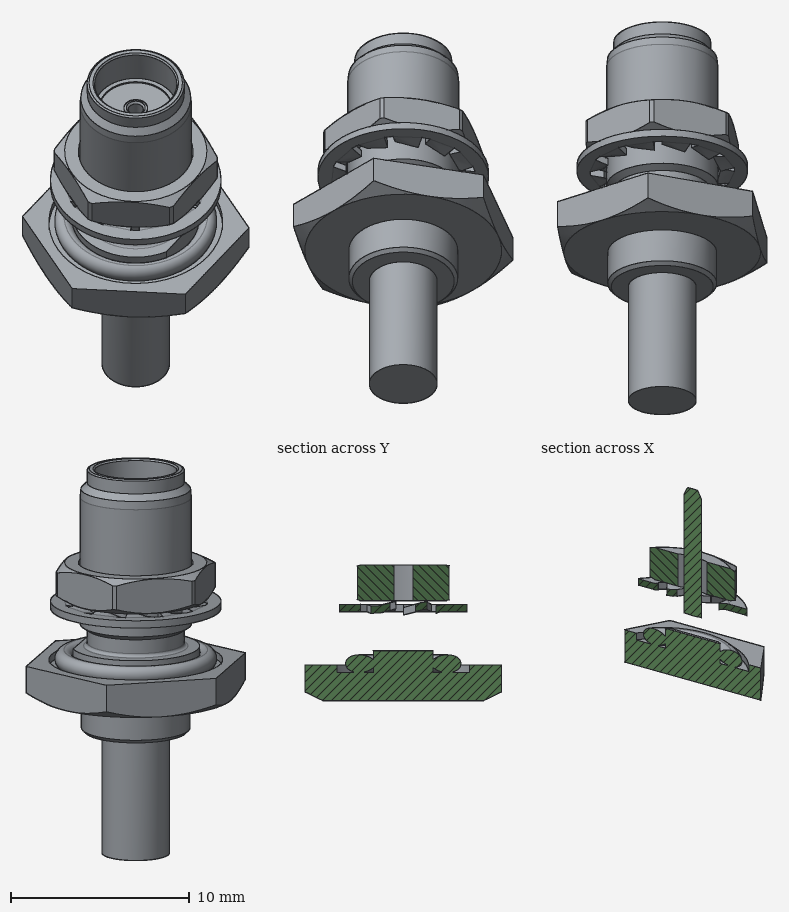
import cadquery as cq
import math

TOTAL_HEIGHT = 22.1
COLLAR_BOTTOM = 7.0
FLANGE_BOTTOM = 9.1
FLANGE_TOP = 11.12
BOSS_TOP = 11.91
UNDERCUT_TOP = 12.9
THREAD_BOTTOM = 13.17
WASHER_BOTTOM = 14.08
WASHER_THICKNESS = 0.42
NUT_BOTTOM = 14.7
NUT_TOP = 16.7
LEAD_BOTTOM = 20.49
LEAD_TOP = 20.95
NECK_BOTTOM = 21.3

TAIL_RADIUS = 1.9
COLLAR_RADIUS = 3.05
COLLAR_CHAMFER = 0.2
BOSS_RADIUS = 3.58
BOSS_FLAT_OFFSET = 3.18
NECK_RADIUS = 2.72
NECK_CHAMFER_WIDTH = 0.1
NECK_CHAMFER_HEIGHT = 0.07
UNDERCUT_FILLET = 0.2
THREAD_RADIUS = 3.12
LEAD_RADIUS = 3.07

FLANGE_ACROSS_FLATS = 11.0
FLANGE_CHAMFER_HEIGHT = 0.49
NUT_ACROSS_FLATS = 8.05
NUT_CORNER_RADIUS = 4.57
NUT_FACE_RADIUS = 3.98
NUT_TOP_CHAMFER = 0.29
NUT_BOTTOM_CHAMFER = 0.35
NUT_BORE_RADIUS = 3.2

SEAL_GROOVE_RADIUS = 4.86
SEAL_GROOVE_DEPTH = 0.42
SEAL_RADIUS = 4.02
SEAL_TUBE_RADIUS = 0.5
SEAL_CENTRE_HEIGHT = 11.18

SOCKET_RADIUS = 2.3
SOCKET_CHAMFER = 0.09
LEDGE_DEPTH = 1.92
INSULATOR_RADIUS = 2.03
INSULATOR_DEPTH = 2.01
CONTACT_RADIUS = 0.66
CONTACT_RISE = 0.05
CONTACT_HOLE_RADIUS = 0.42
CONTACT_HOLE_CHAMFER = 0.1
CONTACT_HOLE_DEPTH = 2.65

WASHER_RADIUS = 4.77
WASHER_BORE_RADIUS = 4.05
TOOTH_COUNT = 12
TOOTH_ROOT_LENGTH = 0.33
TOOTH_TIP_RADIUS = 3.23
TOOTH_ARC = 23.0
TOOTH_RISE = 0.18
TOOTH_CENTRE_ANGLE = -71.5


def disc(radius, bottom, top):
    """Upright cylinder on the axis between two heights."""
    return cq.Workplane("XY").workplane(offset=bottom).circle(radius).extrude(top - bottom)


def hexagon(across_flats, bottom, top):
    """Hexagonal prism with two flats square to X and two corners on Y."""
    corner_diameter = across_flats / math.cos(math.radians(30))
    prism = cq.Workplane("XY").workplane(offset=bottom).polygon(6, corner_diameter).extrude(top - bottom)
    return prism.rotate((0, 0, 0), (0, 0, 1), 30)


def turned(points):
    """Solid of revolution about Z from (radius, height) points."""
    return cq.Workplane("XZ").polyline(points).close().revolve(360, (0, 0, 0), (0, 1, 0))


def make_tail_and_collar():
    tail = disc(TAIL_RADIUS, 0, COLLAR_BOTTOM)
    collar = disc(COLLAR_RADIUS, COLLAR_BOTTOM, FLANGE_BOTTOM).faces("<Z").chamfer(COLLAR_CHAMFER)
    return tail.union(collar)


def make_flange():
    """Hexagonal flange with its lower corners turned off and a seal groove on top."""
    corner_radius = FLANGE_ACROSS_FLATS / 2 / math.cos(math.radians(30))
    chamfer_top = FLANGE_BOTTOM + FLANGE_CHAMFER_HEIGHT
    envelope = turned([
        (0, FLANGE_BOTTOM),
        (FLANGE_ACROSS_FLATS / 2, FLANGE_BOTTOM),
        (corner_radius, chamfer_top),
        (corner_radius, FLANGE_TOP),
        (0, FLANGE_TOP),
    ])
    flange = hexagon(FLANGE_ACROSS_FLATS, FLANGE_BOTTOM, FLANGE_TOP).intersect(envelope)
    groove = disc(SEAL_GROOVE_RADIUS, FLANGE_TOP - SEAL_GROOVE_DEPTH, FLANGE_TOP)
    return flange.cut(groove)


def make_boss():
    """Round boss inside the seal groove with one flat on its +X side."""
    bottom = FLANGE_TOP - SEAL_GROOVE_DEPTH
    boss = disc(BOSS_RADIUS, bottom, BOSS_TOP)
    beyond_flat = cq.Workplane("XY").box(
        BOSS_RADIUS, 2 * BOSS_RADIUS, BOSS_TOP - bottom, centered=(False, True, False)
    ).translate((BOSS_FLAT_OFFSET, 0, bottom))
    return boss.cut(beyond_flat)


def make_seal():
    profile_plane = cq.Plane(origin=(SEAL_RADIUS, 0, SEAL_CENTRE_HEIGHT), xDir=(0, 0, 1), normal=(0, -1, 0))
    connector_axis = ((0, SEAL_RADIUS, 0), (1, SEAL_RADIUS, 0))
    return cq.Workplane(profile_plane).circle(SEAL_TUBE_RADIUS).revolve(360, *connector_axis)


def make_barrel():
    """Threaded barrel with its undercut below and its neck above."""
    bend = UNDERCUT_FILLET * (1 - math.sqrt(0.5))
    return (
        cq.Workplane("XZ")
        .moveTo(0, BOSS_TOP)
        .lineTo(NECK_RADIUS + UNDERCUT_FILLET, BOSS_TOP)
        .threePointArc((NECK_RADIUS + bend, BOSS_TOP + bend), (NECK_RADIUS, BOSS_TOP + UNDERCUT_FILLET))
        .lineTo(NECK_RADIUS, UNDERCUT_TOP)
        .lineTo(THREAD_RADIUS, THREAD_BOTTOM)
        .lineTo(THREAD_RADIUS, LEAD_BOTTOM)
        .lineTo(LEAD_RADIUS, LEAD_TOP)
        .lineTo(NECK_RADIUS, NECK_BOTTOM)
        .lineTo(NECK_RADIUS, TOTAL_HEIGHT - NECK_CHAMFER_HEIGHT)
        .lineTo(NECK_RADIUS - NECK_CHAMFER_WIDTH, TOTAL_HEIGHT)
        .lineTo(0, TOTAL_HEIGHT)
        .close()
        .revolve(360, (0, 0, 0), (0, 1, 0))
    )


def make_socket_cavity():
    """Empty space of the stepped socket around and inside the centre contact."""
    ledge = TOTAL_HEIGHT - LEDGE_DEPTH
    insulator = TOTAL_HEIGHT - INSULATOR_DEPTH
    contact_top = insulator + CONTACT_RISE
    hole_bottom = contact_top - CONTACT_HOLE_DEPTH
    return turned([
        (0, hole_bottom),
        (CONTACT_HOLE_RADIUS, hole_bottom),
        (CONTACT_HOLE_RADIUS, contact_top - CONTACT_HOLE_CHAMFER),
        (CONTACT_HOLE_RADIUS + CONTACT_HOLE_CHAMFER, contact_top),
        (CONTACT_RADIUS, contact_top),
        (CONTACT_RADIUS, insulator),
        (INSULATOR_RADIUS, insulator),
        (INSULATOR_RADIUS, ledge),
        (SOCKET_RADIUS, ledge),
        (SOCKET_RADIUS, TOTAL_HEIGHT - SOCKET_CHAMFER),
        (SOCKET_RADIUS + SOCKET_CHAMFER, TOTAL_HEIGHT),
        (0, TOTAL_HEIGHT),
    ])


def make_connector():
    connector = make_tail_and_collar()
    for section in (make_flange(), make_boss(), make_barrel(), make_seal()):
        connector = connector.union(section)
    return connector.cut(make_socket_cavity())


def make_nut():
    """Hexagonal nut with turned corners, coned at both ends, loose around the thread."""
    envelope = turned([
        (NUT_BORE_RADIUS, NUT_BOTTOM),
        (NUT_FACE_RADIUS, NUT_BOTTOM),
        (NUT_CORNER_RADIUS, NUT_BOTTOM + NUT_BOTTOM_CHAMFER),
        (NUT_CORNER_RADIUS, NUT_TOP - NUT_TOP_CHAMFER),
        (NUT_FACE_RADIUS, NUT_TOP),
        (NUT_BORE_RADIUS, NUT_TOP),
    ])
    return hexagon(NUT_ACROSS_FLATS, NUT_BOTTOM, NUT_TOP).intersect(envelope)


def make_tooth():
    """Tooth pointing inwards along X, flat at its root and twisted at its tip."""
    half_arc = math.radians(TOOTH_ARC / 2)
    root_distance = WASHER_BORE_RADIUS * math.cos(half_arc)
    half_root = WASHER_BORE_RADIUS * math.sin(half_arc)
    half_tip = TOOTH_TIP_RADIUS * math.sin(half_arc)
    half_thick = WASHER_THICKNESS / 2
    blade = (
        cq.Workplane("YZ", origin=(TOOTH_TIP_RADIUS, 0, WASHER_BOTTOM + half_thick))
        .polyline([
            (-half_tip, TOOTH_RISE - half_thick),
            (half_tip, -TOOTH_RISE - half_thick),
            (half_tip, -TOOTH_RISE + half_thick),
            (-half_tip, TOOTH_RISE + half_thick),
        ])
        .close()
        .workplane(offset=root_distance - TOOTH_TIP_RADIUS)
        .polyline([
            (-half_root, -half_thick),
            (half_root, -half_thick),
            (half_root, half_thick),
            (-half_root, half_thick),
        ])
        .close()
        .loft(ruled=True)
    )
    root = (
        cq.Workplane("YZ", origin=(root_distance, 0, WASHER_BOTTOM + half_thick))
        .rect(2 * half_root, WASHER_THICKNESS)
        .extrude(TOOTH_ROOT_LENGTH)
    )
    return blade.union(root)


def make_washer():
    washer = disc(WASHER_RADIUS, WASHER_BOTTOM, WASHER_BOTTOM + WASHER_THICKNESS)
    washer = washer.cut(disc(WASHER_BORE_RADIUS, WASHER_BOTTOM, WASHER_BOTTOM + WASHER_THICKNESS))
    tooth = make_tooth()
    for index in range(TOOTH_COUNT):
        angle = TOOTH_CENTRE_ANGLE + index * 360 / TOOTH_COUNT
        washer = washer.union(tooth.rotate((0, 0, 0), (0, 0, 1), angle))
    return washer


connector = make_connector()
nut = make_nut()
washer = make_washer()

result = cq.Compound.makeCompound([connector.val(), nut.val(), washer.val()])